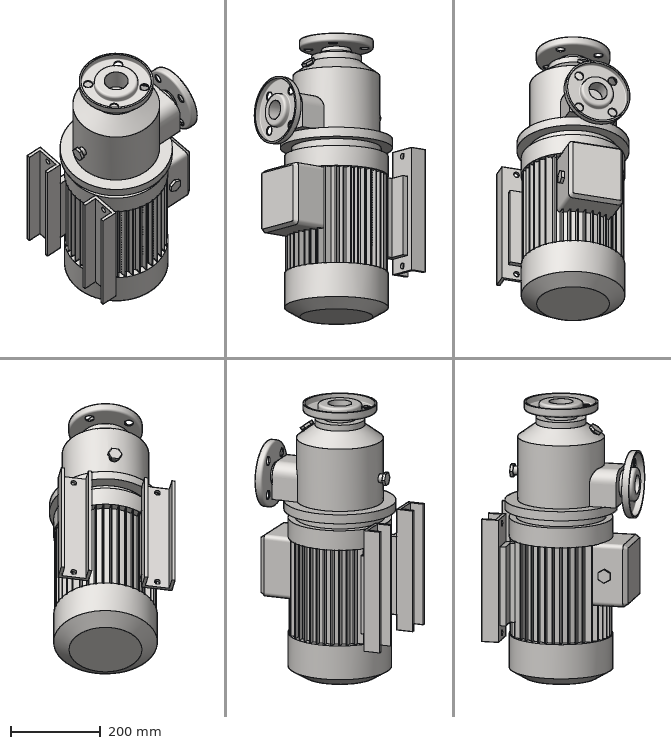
import cadquery as cq
import math


motor_radius = 115.5
motor_base_radius = 81.0
base_chamfer_height = 21.0
core_radius = 100.0
fin_bottom = 98.5
fin_top = 320.0
shoulder_top = 365.0
flange_bottom = 384.0
flange_top = 405.0
flange_radius = 125.0

fin_count_per_side = 10
fin_pitch_angle = 9.0
fin_pitch_radius = 109.5
fin_thickness = 2.5
fin_tip_radius = 114.0

foot_plane = -112.0
foot_thickness = 13.0
foot_outer_x = 114.5
foot_inner_x = 60.0
foot_root_x = 75.5
foot_root_y = -87.5
foot_bottom = 135.0
foot_top = 315.5

channel_width = 69.0
channel_depth = 38.5
channel_wall = 7.5
channel_outer_x = 129.15
channel_bottom = 100.0
channel_top = 379.0
channel_hole_x = 95.0
channel_hole_radius = 6.0
channel_hole_heights = (114.5, 364.5)

box_half_width = 63.5
box_inner_y = 75.5
box_outer_y = 167.0
box_bottom = 179.0
box_top = 321.0
box_edge_radius = 10.0
box_chamfer_depth = 10.0
box_chamfer_side = 7.0
gland_y = 115.5

casing_radius = 97.0
casing_top = 548.5
collar_bottom = 579.0
collar_top = 592.5
collar_radius = 56.0
total_height = 628.5

branch_half_width = 56.0
branch_end_y = 140.0
branch_top = 486.5
branch_edge_radius = 29.5

discharge_height = 448.0
discharge_rim_y = 173.5
discharge_boss_rise = 1.0

sheet_thickness = 3.0
outer_bend_radius = 5.0
inner_bend_radius = outer_bend_radius - sheet_thickness
rim_wall = 4.1
boss_edge_radius = 5.5
neck_taper = 4.0
bolt_hole_radius = 10.0
bolt_count = 4
first_bolt_angle = 45

hex_flats = 27.0
hex_diameter = hex_flats / math.cos(math.pi / 6)
head_thickness = 7.0
shank_radius = 10.0
drain_height = 465.0
drain_shank_length = 10.5
vent_y = 76.0
vent_shank_length = 2.5
shank_overlap = 6.0


def block(x_range, y_range, z_range):
    """Box given by its limits along each axis."""
    size = [high - low for low, high in (x_range, y_range, z_range)]
    corner = (x_range[0], y_range[0], z_range[0])
    return cq.Workplane("XY").box(*size, centered=False).translate(corner)


def plug(seat, direction, hex_corner_axis, shank_length):
    """Hex-headed plug whose shank leaves the wall at seat along direction."""
    plane = cq.Plane(origin=seat, xDir=hex_corner_axis, normal=direction)
    shank = (
        cq.Workplane(plane)
        .workplane(offset=-shank_overlap)
        .circle(shank_radius)
        .extrude(shank_overlap + shank_length)
    )
    head = (
        cq.Workplane(plane)
        .workplane(offset=shank_length)
        .polygon(6, hex_diameter)
        .extrude(head_thickness)
    )
    return shank.union(head)



def motor_core():
    """Turned motor body: base, finned core, shoulder, neck and flange."""
    return (
        cq.Workplane("XZ")
        .polyline([
            (0, 0),
            (motor_base_radius, 0),
            (motor_radius, base_chamfer_height),
            (motor_radius, fin_bottom),
            (core_radius, fin_bottom),
            (core_radius, fin_top),
            (motor_radius, fin_top),
            (motor_radius, shoulder_top),
            (core_radius, shoulder_top),
            (core_radius, flange_bottom),
            (flange_radius, flange_bottom),
            (flange_radius, flange_top),
            (0, flange_top),
        ])
        .close()
        .revolve(360, (0, 0, 0), (0, 1, 0))
    )


def cooling_fins():
    """Parallel fins on four sides, trimmed just inside the motor radius."""
    fin_height = fin_top - fin_bottom
    middle_index = (fin_count_per_side - 1) / 2
    angles = [fin_pitch_angle * (index - middle_index) for index in range(fin_count_per_side)]
    offsets = [fin_pitch_radius * math.sin(math.radians(angle)) for angle in angles]
    plates = (
        cq.Workplane("XY")
        .workplane(offset=fin_bottom)
        .pushPoints([(0, y) for y in offsets])
        .rect(2 * fin_tip_radius, fin_thickness)
        .extrude(fin_height)
    )
    crossed_plates = plates.union(plates.rotate((0, 0, 0), (0, 0, 1), 90))
    envelope = cq.Workplane("XY").workplane(offset=fin_bottom).circle(fin_tip_radius).extrude(fin_height)
    return crossed_plates.intersect(envelope)


def foot():
    """Motor foot on the +X side: a flat pad with a root block against the fins."""
    return (
        cq.Workplane("XY")
        .workplane(offset=foot_bottom)
        .polyline([
            (foot_inner_x, foot_plane),
            (foot_outer_x, foot_plane),
            (foot_outer_x, foot_plane + foot_thickness),
            (foot_root_x, foot_plane + foot_thickness),
            (foot_root_x, foot_root_y),
            (foot_inner_x, foot_root_y),
        ])
        .close()
        .extrude(foot_top - foot_bottom)
    )


def mounting_channel():
    """U channel on the +X side, web against the foot and open toward -Y."""
    inner_x = channel_outer_x - channel_width
    z_range = (channel_bottom, channel_top)
    open_y = foot_plane - channel_depth
    channel = block((inner_x, channel_outer_x), (open_y, foot_plane), z_range).cut(
        block(
            (inner_x + channel_wall, channel_outer_x - channel_wall),
            (open_y, foot_plane - channel_wall),
            z_range,
        )
    )
    holes = (
        cq.Workplane("XZ", origin=(0, foot_plane, 0))
        .pushPoints([(channel_hole_x, z) for z in channel_hole_heights])
        .circle(channel_hole_radius)
        .extrude(channel_wall)
    )
    return channel.cut(holes)


def terminal_box():
    """Terminal box on the +Y side with a cable gland on its +X wall."""
    box = block(
        (-box_half_width, box_half_width),
        (box_inner_y, box_outer_y),
        (box_bottom, box_top),
    )
    box = box.edges("|Y").fillet(box_edge_radius)
    box = box.faces(">Y").chamfer(box_chamfer_side, box_chamfer_depth)
    gland_seat = (box_half_width, gland_y, (box_bottom + box_top) / 2)
    gland = plug(gland_seat, (1, 0, 0), (0, 0, 1), 0)
    return box.union(gland)


def make_motor():
    body = motor_core().union(cooling_fins()).union(terminal_box())
    support = foot().union(mounting_channel())
    return body.union(support).union(support.mirror("YZ"))



def casing():
    """Turned pump casing with a conical top and a collar."""
    return (
        cq.Workplane("XZ")
        .polyline([
            (0, flange_top),
            (casing_radius, flange_top),
            (casing_radius, casing_top),
            (collar_radius, collar_bottom),
            (collar_radius, collar_top),
            (0, collar_top),
        ])
        .close()
        .revolve(360, (0, 0, 0), (0, 1, 0))
    )


def discharge_branch():
    """Block from the casing axis toward +Y with rounded upper edges."""
    return block(
        (-branch_half_width, branch_half_width),
        (0, branch_end_y),
        (flange_top, branch_top),
    ).edges("|Y and >Z").fillet(branch_edge_radius)


def nozzle(rim_radius, thickness, boss_radius, boss_rise, neck_radius, bore_radius,
           bolt_circle_radius, length, bore_depth, neck_taper_height):
    """Flanged nozzle along +Z with its rim at Z = 0: returns the solid and its bore."""
    recess_floor = sheet_thickness - thickness
    rim_inner = rim_radius - rim_wall
    body = (
        cq.Workplane("XZ")
        .moveTo(0, -length)
        .lineTo(0, boss_rise)
        .lineTo(boss_radius - boss_edge_radius, boss_rise)
        .radiusArc((boss_radius, boss_rise - boss_edge_radius), boss_edge_radius)
        .lineTo(boss_radius, recess_floor + inner_bend_radius)
        .radiusArc((boss_radius + inner_bend_radius, recess_floor), -inner_bend_radius)
        .lineTo(rim_inner - inner_bend_radius, recess_floor)
        .radiusArc((rim_inner, recess_floor + inner_bend_radius), -inner_bend_radius)
        .lineTo(rim_inner, 0)
        .lineTo(rim_radius, 0)
        .lineTo(rim_radius, outer_bend_radius - thickness)
        .radiusArc((rim_radius - outer_bend_radius, -thickness), outer_bend_radius)
        .lineTo(neck_radius - neck_taper, -thickness)
        .lineTo(neck_radius, -thickness - neck_taper_height)
        .lineTo(neck_radius, -length)
        .close()
        .revolve(360, (0, 0, 0), (0, 1, 0))
    )
    bolt_holes = (
        cq.Workplane("XY")
        .workplane(offset=-thickness)
        .polarArray(bolt_circle_radius, first_bolt_angle, 360, bolt_count)
        .circle(bolt_hole_radius)
        .extrude(thickness)
    )
    bore = (
        cq.Workplane("XY")
        .workplane(offset=boss_rise)
        .circle(bore_radius)
        .extrude(-boss_rise - bore_depth)
    )
    return body.cut(bolt_holes), bore


def suction_nozzle():
    """Top nozzle; its bore runs down to the foot of the collar."""
    parts = nozzle(
        rim_radius=82.5,
        thickness=19.0,
        boss_radius=49.0,
        boss_rise=0,
        neck_radius=36.0,
        bore_radius=26.5,
        bolt_circle_radius=63.0,
        length=total_height - collar_top,
        bore_depth=total_height - collar_bottom,
        neck_taper_height=9.5,
    )
    return [part.translate((0, 0, total_height)) for part in parts]


def discharge_nozzle():
    """Side nozzle toward +Y; its bore runs down to the branch face."""
    length = discharge_rim_y - branch_end_y
    parts = nozzle(
        rim_radius=75.5,
        thickness=17.0,
        boss_radius=38.0,
        boss_rise=discharge_boss_rise,
        neck_radius=30.0,
        bore_radius=21.5,
        bolt_circle_radius=55.0,
        length=length,
        bore_depth=length,
        neck_taper_height=5.5,
    )
    return [
        part.rotate((0, 0, 0), (1, 0, 0), -90).translate((0, discharge_rim_y, discharge_height))
        for part in parts
    ]


def make_pump():
    cone_rise = collar_bottom - casing_top
    cone_run = casing_radius - collar_radius
    vent_z = casing_top + (casing_radius - vent_y) * cone_rise / cone_run
    vent = plug((0, vent_y, vent_z), (0, cone_rise, cone_run), (1, 0, 0), vent_shank_length)
    drain = plug((0, -casing_radius, drain_height), (0, -1, 0), (1, 0, 0), drain_shank_length)

    body = casing().union(discharge_branch()).union(vent).union(drain)
    for flanged_neck, bore in (suction_nozzle(), discharge_nozzle()):
        body = body.union(flanged_neck).cut(bore)
    return body


motor = make_motor()
pump = make_pump()

result = cq.Compound.makeCompound([motor.val(), pump.val()])